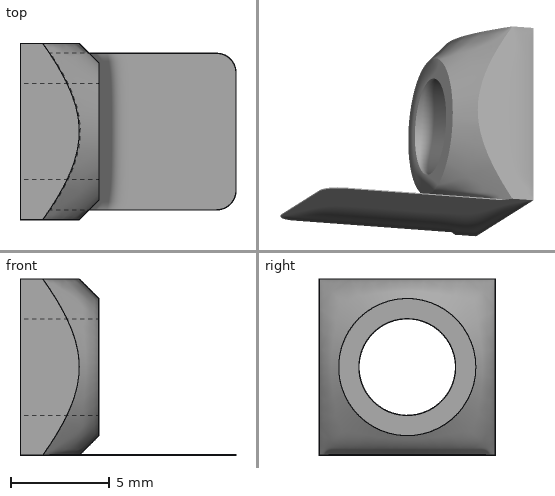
import cadquery as cq

total_length = 11.0
block_side = 9.0
block_depth = 4.0
bore_diameter = 4.92
cone_face_diameter = 7.0
tab_width = 8.0
tab_thickness = 0.05
tab_corner_radius = 1.0

half_side = block_side / 2


def coned_block():
    """Square block along X whose +X end is trimmed by a 45 degree cone."""
    block = cq.Workplane("YZ").rect(block_side, block_side).extrude(block_depth)
    face_radius = cone_face_diameter / 2
    back_radius = face_radius + block_depth
    cone = (
        cq.Workplane("XY")
        .polyline([(0, 0), (0, back_radius), (block_depth, face_radius), (block_depth, 0)])
        .close()
        .revolve(360, (0, 0, 0), (1, 0, 0))
    )
    return block.intersect(cone)


def tab():
    """Thin tab flush with the block underside, rounded at its free corners."""
    return (
        cq.Workplane("XY", origin=(0, 0, -half_side))
        .rect(total_length, tab_width)
        .extrude(tab_thickness)
        .translate((total_length / 2, 0, 0))
        .edges("|Z and >X")
        .fillet(tab_corner_radius)
    )


def bore():
    """Through hole on the block axis."""
    return cq.Workplane("YZ").circle(bore_diameter / 2).extrude(block_depth)


result = coned_block().union(tab()).cut(bore())